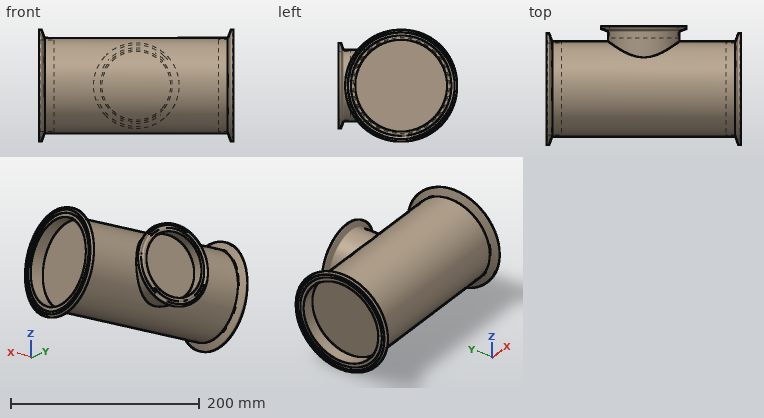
import cadquery as cq
import math

RUN_LENGTH = 206.4
BRANCH_REACH = 66.7

RUN_FLANGE_DIA = 118.9
RUN_TUBE_DIA = 101.5
RUN_BORE_DIA = 97.5
RUN_GROOVE_DIA = 109.5
RUN_FERRULE_LENGTH = 15.9

BRANCH_FLANGE_DIA = 90.8
BRANCH_TUBE_DIA = 76.2
BRANCH_BORE_DIA = 72.9
BRANCH_GROOVE_DIA = 83.4
BRANCH_FERRULE_LENGTH = 12.8

RIM_WIDTH = 2.9
RIM_ROUND = 0.6
CLAMP_ANGLE = 20.0
NECK_ROUND = 0.8
GROOVE_WIDTH = 3.3
GROOVE_DEPTH = 1.0
GROOVE_LIP_ROUND = 0.5


def round_circle(body, radius, height, round_radius):
    """Fillet the circular edge of the given radius and height around the Z axis."""
    tolerance = 0.02

    def is_wanted(edge):
        same_radius = abs(edge.radius() - radius) < tolerance
        return same_radius and abs(edge.Center().z - height) < tolerance

    return body.edges("%CIRCLE").filter(is_wanted).fillet(round_radius)


def ferrule(flange_dia, tube_dia, bore_dia, groove_dia, length):
    """Hollow clamp ferrule along +Z with its sealing face at Z = 0."""
    flange_r = flange_dia / 2
    tube_r = tube_dia / 2
    bore_r = bore_dia / 2
    neck_z = RIM_WIDTH + (flange_r - tube_r) * math.tan(math.radians(CLAMP_ANGLE))
    profile = (
        cq.Workplane("XZ")
        .moveTo(bore_r, 0)
        .lineTo(flange_r, 0)
        .lineTo(flange_r, RIM_WIDTH)
        .lineTo(tube_r, neck_z)
        .lineTo(tube_r, length)
        .lineTo(bore_r, length)
        .close()
    )
    body = profile.revolve(360, (0, 0), (0, 1))

    groove_r = groove_dia / 2
    groove_inner_r = groove_r - GROOVE_WIDTH / 2
    groove_outer_r = groove_r + GROOVE_WIDTH / 2
    groove = (
        cq.Workplane("XZ")
        .moveTo(groove_inner_r, 0)
        .threePointArc((groove_r, GROOVE_DEPTH), (groove_outer_r, 0))
        .close()
        .revolve(360, (0, 0), (0, 1))
    )
    body = body.cut(groove)

    body = round_circle(body, flange_r, 0, RIM_ROUND)
    body = round_circle(body, flange_r, RIM_WIDTH, RIM_ROUND)
    body = round_circle(body, tube_r, neck_z, NECK_ROUND)
    for lip_r in (groove_inner_r, groove_outer_r):
        body = round_circle(body, lip_r, 0, GROOVE_LIP_ROUND)
    return body


def build_run():
    """Solid run along X with a ferrule on each end."""
    end_x = RUN_LENGTH / 2
    core_end_x = end_x - RUN_FERRULE_LENGTH
    run = (
        cq.Workplane("YZ", origin=(-core_end_x, 0, 0))
        .circle(RUN_TUBE_DIA / 2)
        .extrude(2 * core_end_x)
    )
    end_ferrule = ferrule(
        RUN_FLANGE_DIA, RUN_TUBE_DIA, RUN_BORE_DIA, RUN_GROOVE_DIA, RUN_FERRULE_LENGTH
    )
    for side in (-1, 1):
        turned = end_ferrule.rotate((0, 0, 0), (0, 1, 0), -90 * side)
        run = run.union(turned.translate((side * end_x, 0, 0)))
    return run


def build_branch():
    """Solid branch from the run axis along +Y with a ferrule on its end."""
    core_length = BRANCH_REACH - BRANCH_FERRULE_LENGTH
    branch = cq.Workplane("XZ").circle(BRANCH_TUBE_DIA / 2).extrude(-core_length)
    end_ferrule = ferrule(
        BRANCH_FLANGE_DIA, BRANCH_TUBE_DIA, BRANCH_BORE_DIA, BRANCH_GROOVE_DIA, BRANCH_FERRULE_LENGTH
    )
    turned = end_ferrule.rotate((0, 0, 0), (1, 0, 0), 90)
    return branch.union(turned.translate((0, BRANCH_REACH, 0)))


result = build_run().union(build_branch())